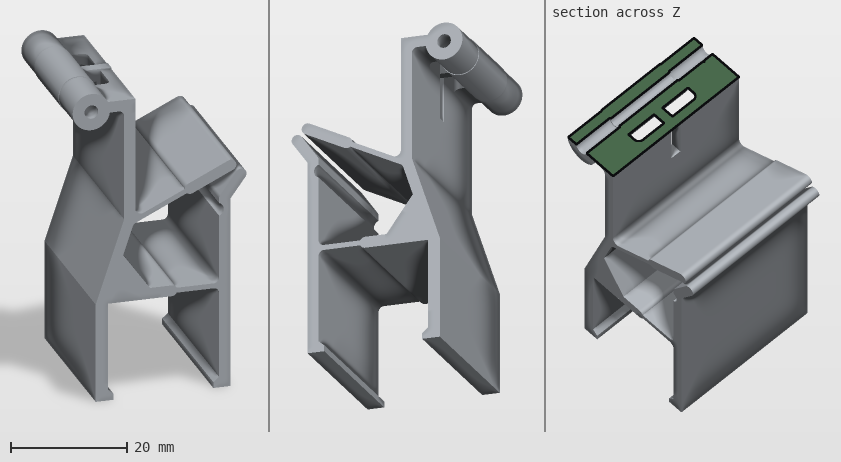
import cadquery as cq
import math

width = 30.0
total_height = 57.55
wall = 2.0
thin = 0.9

front_wall = 2.2
lower_bend_z = 18.1
upper_bend_z = 33.4
upper_front_y = 5.1
upper_back_y = upper_front_y + wall

back_outer_y = 24.2
back_inner_y = back_outer_y - wall
lip_tip_y = 26.155
lip_tip_z = 39.25
lip_angle = 54.0
groove_diameter = 2.5
groove_center_y = 21.8
groove_center_z = 33.15

toe_tip_height = 1.1
toe_root_height = 1.95
toe_reach = 1.05

web_bottom_z = 18.0
web_top_z = web_bottom_z + wall
web_middle_z = (web_bottom_z + web_top_z) / 2
web_thick_end_y = 13.7
gusset_foot_y = 9.8
gusset_top_y = 4.95
gusset_top_z = 26.7

arm_tip_y = 24.315
arm_tip_z = 41.15
arm_angle = 25.5
arm_thick_length = 8.05

shelf_bottom_z = 53.6
shelf_top_z = shelf_bottom_z + wall
barrel_diameter = 6.75
collar_diameter = 6.95
collar_length = 14.05
barrel_y = -0.775
barrel_z = total_height - collar_diameter / 2
end_bore_diameter = 2.5
middle_bore_diameter = 2.1
pocket_corner_radius = 1.05

rib_width = 2.1
rib_top_z = 55.9
slot_bottom_z = 45.45

root_radius = 1.05
web_root_radius = 1.0


def prism(points):
    """Extrude a (Y, Z) polygon over the full width."""
    return cq.Workplane("YZ").polyline(points).close().extrude(width / 2, both=True)


def rod(diameter, length, y, z):
    """Cylinder along X, centred on X = 0."""
    return cq.Workplane("YZ").center(y, z).circle(diameter / 2).extrude(length / 2, both=True)


def block(x_size, y_low, y_high, z_low, z_high):
    """Box centred on X = 0 between the given Y and Z limits."""
    return (
        cq.Workplane("XY")
        .box(x_size, y_high - y_low, z_high - z_low)
        .translate((0, (y_low + y_high) / 2, (z_low + z_high) / 2))
    )


def round_edges(body, places, radius):
    """Fillet the full-width edges nearest to the given (Y, Z) places."""
    for y, z in places:
        body = body.edges("|X").edges(cq.NearestToPointSelector((0, y, z))).fillet(radius)
    return body


slope = upper_front_y / (upper_bend_z - lower_bend_z)
inner_slope_top_y = gusset_top_y + slope * (upper_bend_z - gusset_top_z)
front = prism([
    (0, 0),
    (0, lower_bend_z),
    (upper_front_y, upper_bend_z),
    (upper_front_y, shelf_top_z),
    (upper_back_y, shelf_top_z),
    (upper_back_y, upper_bend_z),
    (inner_slope_top_y, upper_bend_z),
    (gusset_top_y, gusset_top_z),
    (gusset_foot_y, web_top_z),
    (web_thick_end_y, web_top_z),
    (web_thick_end_y, web_bottom_z),
    (front_wall, web_bottom_z),
    (front_wall, toe_root_height),
    (front_wall + toe_reach, toe_tip_height),
    (front_wall + toe_reach, 0),
])
front = front.union(rod(wall, width, web_thick_end_y, web_middle_z))

lip_cos = math.cos(math.radians(lip_angle))
lip_sin = math.sin(math.radians(lip_angle))
lip_radius = wall / 2
lip_outer = (lip_tip_y + lip_radius * lip_sin, lip_tip_z - lip_radius * lip_cos)
lip_inner = (lip_tip_y - lip_radius * lip_sin, lip_tip_z + lip_radius * lip_cos)
lip_slope = lip_sin / lip_cos
lip_bend_z = lip_inner[1] - (lip_inner[0] - back_inner_y) * lip_slope
back = prism([
    (back_outer_y, 0),
    (back_outer_y, lip_outer[1] - (lip_outer[0] - back_outer_y) * lip_slope),
    lip_outer,
    lip_inner,
    (back_inner_y, lip_bend_z),
    (back_inner_y, toe_root_height),
    (back_inner_y - toe_reach, toe_tip_height),
    (back_inner_y - toe_reach, 0),
])
back = round_edges(back, [(back_inner_y, lip_bend_z)], root_radius)
back = back.union(rod(wall, width, lip_tip_y, lip_tip_z))
back = back.cut(rod(groove_diameter, width, groove_center_y, groove_center_z))

web_overlap = 0.85
thin_web = block(
    width,
    web_thick_end_y - web_overlap,
    back_inner_y + web_overlap,
    web_middle_z - thin / 2,
    web_middle_z + thin / 2,
)

arm_cos = math.cos(math.radians(arm_angle))
arm_root_y = (inner_slope_top_y + upper_front_y) / 2
arm_length = (arm_tip_y - arm_root_y) / arm_cos
arm = (
    block(width, -arm_thick_length, 0, -wall / 2, wall / 2)
    .union(rod(wall, width, 0, 0))
    .union(rod(wall, width, -arm_thick_length, 0))
    .union(block(width, -arm_length, 0, -thin / 2, thin / 2))
    .rotate((0, 0, 0), (1, 0, 0), arm_angle)
    .translate((0, arm_tip_y, arm_tip_z))
)

shelf = block(width, barrel_y, upper_back_y, shelf_bottom_z, shelf_top_z)
body = front.union(back).union(thin_web).union(arm).union(shelf)

arm_slope = math.tan(math.radians(arm_angle))
arm_axis_z = arm_tip_z - (arm_tip_y - upper_back_y) * arm_slope
arm_half_height = thin / 2 / arm_cos
body = round_edges(
    body,
    [
        (upper_back_y, arm_axis_z + arm_half_height),
        (upper_back_y, arm_axis_z - arm_half_height),
    ],
    root_radius,
)
body = round_edges(
    body,
    [
        (back_inner_y, web_middle_z - thin / 2),
        (back_inner_y, web_middle_z + thin / 2),
        (upper_front_y, shelf_bottom_z),
    ],
    web_root_radius,
)

pocket = (
    block(collar_length, barrel_y, upper_front_y, shelf_bottom_z - root_radius, shelf_top_z)
    .edges("|Z and >Y")
    .fillet(pocket_corner_radius)
)
slot = block(rib_width, upper_front_y, upper_back_y, slot_bottom_z, shelf_bottom_z)
rib = block(rib_width, barrel_y, upper_back_y, shelf_bottom_z, rib_top_z)
body = body.cut(pocket).cut(slot).union(rib)

body = body.union(rod(barrel_diameter, width, barrel_y, barrel_z))
body = body.union(rod(collar_diameter, collar_length, barrel_y, barrel_z))
end_bores = rod(end_bore_diameter, width, barrel_y, barrel_z).cut(
    rod(end_bore_diameter, collar_length, barrel_y, barrel_z)
)
body = body.cut(rod(middle_bore_diameter, width, barrel_y, barrel_z)).cut(end_bores)

result = body